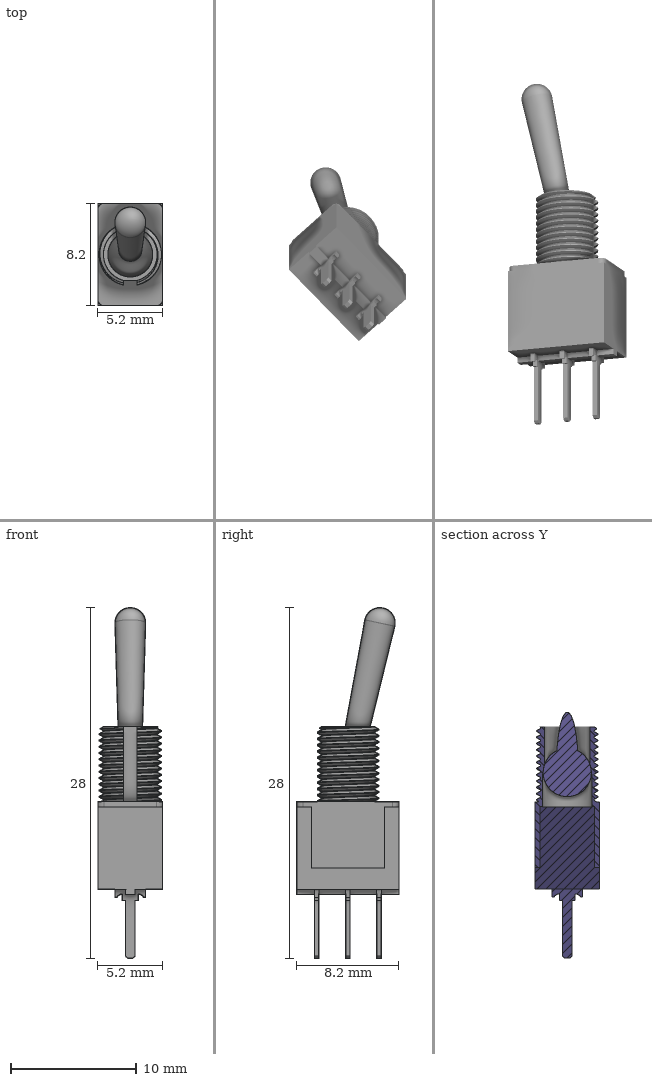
import cadquery as cq
import math

body_width = 5.2
body_length = 8.2
total_height = 28.05
case_bottom = 5.53
plate_top = 12.55
sheet = 0.42
plate_bottom = plate_top - sheet

plate_corner_radius = 0.5
flap_length = 5.83
flap_bottom = 7.25
bushing_height = 6.0
bushing_top = plate_top + bushing_height
bore_diameter = 3.6
thread_diameter = 5.0
thread_turns = 12
thread_pitch = bushing_height / thread_turns
thread_core_diameter = 4.3
thread_core_radius = thread_core_diameter / 2
thread_start = plate_top - 0.36
thread_overrun = 0.28
tooth_base_width = 0.48
tooth_crest_width = 0.05
tooth_root_overlap = 0.03
end_cone_height = 0.22
envelope_margin = 0.15
keyway_width = 1.07
keyway_floor = 2.08

ball_diameter = 3.9
ball_height = 14.87
lever_tilt = 12.1
lever_tip_radius = 1.23
lever_neck_radius = 0.93

pin_count = 3
pin_pitch = 2.5
pin_thickness = 0.36
pin_width = 0.79
pin_tip_chamfer = 0.2
shoulder_width = 1.3
shoulder_bottom = 4.63
wing_width = 2.47
wing_bottom = 4.88
wing_tip_width = 0.17
wing_arc_top = 5.13
rib_width = 0.75
rib_bottom = 5.1


def block(width, length, bottom, top):
    """Box centred on the Z axis between two heights."""
    return cq.Workplane("XY").workplane(offset=bottom).rect(width, length).extrude(top - bottom)


def cylinder(radius, bottom, top):
    """Cylinder on the Z axis between two heights."""
    return cq.Workplane("XY").workplane(offset=bottom).circle(radius).extrude(top - bottom)


def make_ball():
    """Ball that the lever swings on; the frame's socket has the same size."""
    return cq.Workplane("XY").sphere(ball_diameter / 2).translate((0, 0, ball_height))


def make_lever():
    """Ball with a tapered handle ending in a round tip, tilted about the ball centre."""
    tip_rise = (total_height - lever_tip_radius - ball_height) / math.cos(math.radians(lever_tilt))
    neck_rise = math.sqrt((ball_diameter / 2) ** 2 - lever_neck_radius ** 2)
    handle = (
        cq.Workplane("XZ")
        .lineTo(lever_neck_radius, 0)
        .lineTo(lever_neck_radius, neck_rise)
        .lineTo(lever_tip_radius, tip_rise)
        .radiusArc((0, tip_rise + lever_tip_radius), -lever_tip_radius)
        .close()
        .revolve(360, (0, 0, 0), (0, 1, 0))
        .rotate((0, 0, 0), (1, 0, 0), -lever_tilt)
        .translate((0, 0, ball_height))
    )
    return make_ball().union(handle)


def make_thread():
    """Right-hand V thread on its core, coned at the top and trimmed to the bushing height."""
    crest_radius = thread_diameter / 2
    inner_radius = thread_core_radius - tooth_root_overlap
    half_base = tooth_base_width / 2
    half_crest = tooth_crest_width / 2
    helix = cq.Wire.makeHelix(
        thread_pitch, bushing_top + thread_overrun - thread_start, thread_core_radius,
        cq.Vector(0, 0, thread_start),
    )
    tooth = (
        cq.Workplane("XZ")
        .moveTo(inner_radius, thread_start - half_base)
        .lineTo(crest_radius, thread_start - half_crest)
        .lineTo(crest_radius, thread_start + half_crest)
        .lineTo(inner_radius, thread_start + half_base)
        .close()
        .sweep(cq.Workplane(obj=helix), isFrenet=True)
    )
    envelope_radius = crest_radius + envelope_margin
    core_to_crest = crest_radius - thread_core_radius
    cone_height = end_cone_height * (envelope_radius - thread_core_radius) / core_to_crest
    envelope = (
        cq.Workplane("XZ")
        .moveTo(0, plate_top)
        .lineTo(envelope_radius, plate_top)
        .lineTo(envelope_radius, bushing_top - cone_height)
        .lineTo(thread_core_radius, bushing_top)
        .lineTo(0, bushing_top)
        .close()
        .revolve(360, (0, 0, 0), (0, 1, 0))
    )
    core = cylinder(thread_core_radius, plate_bottom, bushing_top + thread_overrun)
    return core.union(tooth, clean=False).intersect(envelope, clean=False)


def make_flaps():
    """Flat flaps on the -X and +X sides, flush with the case."""
    inner_width = body_width - 2 * sheet
    return block(body_width, flap_length, flap_bottom, plate_bottom).cut(
        block(inner_width, flap_length, flap_bottom, plate_bottom)
    )


def make_frame():
    """Top plate with two side flaps and the threaded bushing."""
    plate = block(body_width, body_length, plate_bottom, plate_top).edges("|Z").fillet(plate_corner_radius)
    keyway = block(keyway_width, thread_diameter, plate_top, bushing_top).translate(
        (0, -keyway_floor - thread_diameter / 2, 0)
    )
    bushing = make_thread().cut(keyway, clean=False)
    bore = cylinder(bore_diameter / 2, ball_height, bushing_top)
    ball_entry = cylinder(ball_diameter / 2, plate_bottom, ball_height)
    hollow = bore.union(ball_entry).union(make_ball())
    return plate.union(make_flaps()).union(bushing, clean=False).cut(hollow, clean=False)


def make_pin(y):
    """Flat pin with a shoulder and two arched wings, hanging from the case bottom."""
    half_pin = pin_width / 2
    half_shoulder = shoulder_width / 2
    half_wing = wing_width / 2
    arc_span = half_wing - wing_tip_width - half_shoulder
    arc_rise = wing_arc_top - wing_bottom
    arc_radius = (arc_span ** 2 + arc_rise ** 2) / (2 * arc_rise)
    half_body = (
        cq.Workplane("XZ")
        .moveTo(0, case_bottom)
        .lineTo(half_wing, case_bottom)
        .lineTo(half_wing, wing_bottom)
        .lineTo(half_wing - wing_tip_width, wing_bottom)
        .radiusArc((half_shoulder, wing_arc_top), -arc_radius)
        .lineTo(half_shoulder, shoulder_bottom)
        .lineTo(half_pin, shoulder_bottom)
        .lineTo(half_pin, pin_tip_chamfer)
        .lineTo(half_pin - pin_tip_chamfer, 0)
        .lineTo(0, 0)
        .close()
        .extrude(pin_thickness / 2, both=True)
    )
    return half_body.union(half_body.mirror("YZ")).translate((0, y, 0))


def make_case(pins):
    """Block with recesses for the flaps and a bottom rib slotted for the pins."""
    case = block(body_width, body_length, case_bottom, plate_bottom)
    case = case.union(block(rib_width, body_length, rib_bottom, case_bottom))
    case = case.cut(make_flaps())
    for pin in pins:
        case = case.cut(pin)
    return case


lever = make_lever()
frame = make_frame()
pins = [make_pin((i - (pin_count - 1) / 2) * pin_pitch) for i in range(pin_count)]
case = make_case(pins)

bodies = [lever, frame, case, *pins]
result = cq.Compound.makeCompound([body.solids().val() for body in bodies])